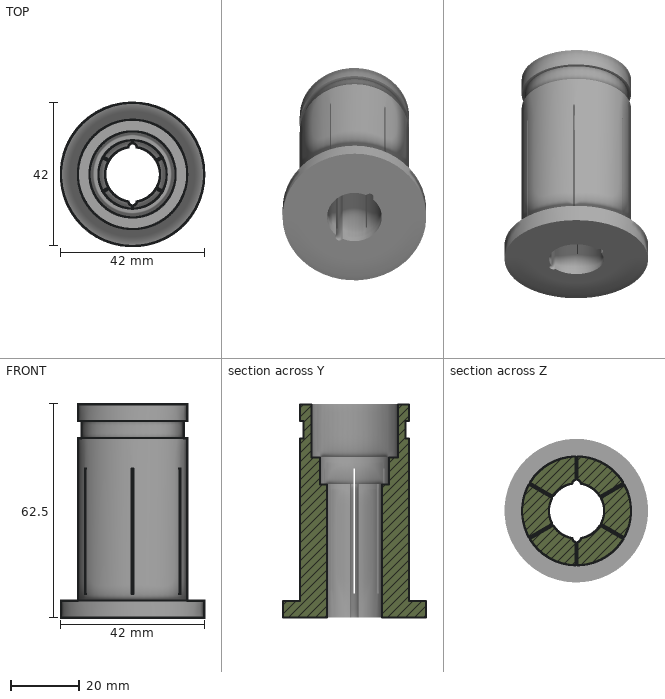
import cadquery as cq

total_height = 62.5
flange_diameter = 42.0
flange_height = 5.0
body_diameter = 32.0

groove_diameter = 30.0
groove_width = 5.0
collar_height = 5.0

counterbore_diameter = 25.2
counterbore_depth = 15.5
middle_bore_diameter = 20.0
through_bore_diameter = 16.0
grip_top = 39.0

keyway_diameter = 2.4
keyway_center_radius = 7.9

slot_count = 6
slot_width = 0.4
slot_bottom = 7.0
slot_top = 43.6
first_slot_angle = 30.0


def cylinder(diameter, bottom, top):
    """Cylinder on the Z axis between two heights."""
    return cq.Workplane("XY").workplane(offset=bottom).circle(diameter / 2).extrude(top - bottom)


def outer_body():
    """Flanged tube blank with the groove below its top collar."""
    groove_top = total_height - collar_height
    groove_bottom = groove_top - groove_width
    flange = cylinder(flange_diameter, 0, flange_height)
    lower_body = cylinder(body_diameter, 0, groove_bottom)
    neck = cylinder(groove_diameter, 0, groove_top)
    collar = cylinder(body_diameter, groove_top, total_height)
    return flange.union(lower_body).union(neck).union(collar)


def stepped_bore():
    """Through bore, wider above its narrow grip length and widest at the top."""
    through_bore = cylinder(through_bore_diameter, 0, total_height)
    middle_bore = cylinder(middle_bore_diameter, grip_top, total_height)
    counterbore = cylinder(counterbore_diameter, total_height - counterbore_depth, total_height)
    return through_bore.union(middle_bore).union(counterbore)


def keyways():
    """Round keyways on opposite sides of the through bore."""
    centers = [(0, keyway_center_radius), (0, -keyway_center_radius)]
    return cq.Workplane("XY").pushPoints(centers).circle(keyway_diameter / 2).extrude(grip_top)


def wall_slot(angle):
    """Radial slot from the axis out through the body wall, at an angle from +X."""
    slot_reach = flange_diameter / 2
    slot = cq.Workplane("XY").box(
        slot_reach, slot_width, slot_top - slot_bottom, centered=(False, True, False)
    )
    return slot.translate((0, 0, slot_bottom)).rotate((0, 0, 0), (0, 0, 1), angle)


result = outer_body().cut(stepped_bore()).cut(keyways())
for slot_index in range(slot_count):
    slot_angle = first_slot_angle + slot_index * 360.0 / slot_count
    result = result.cut(wall_slot(slot_angle))